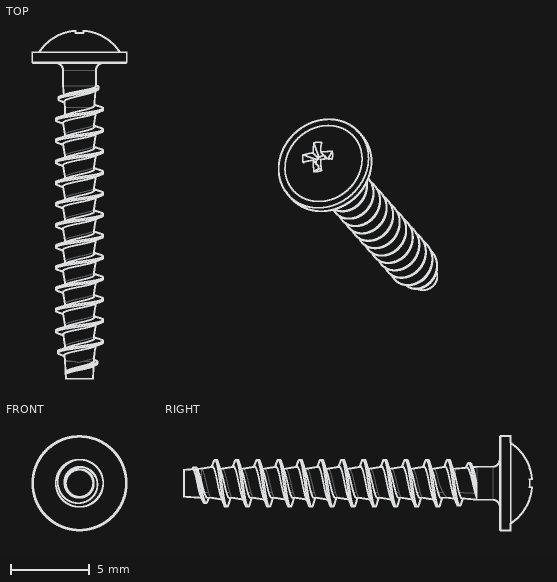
import cadquery as cq
import math


washer_radius = 3.0
washer_thickness = 0.7
washer_edge_chamfer = 0.06
dome_base_radius = 2.57
apex_height = 2.08

recess_arm_width = 0.5
recess_mouth_radius = 1.09
recess_floor_radius = 0.45
recess_depth = 1.2

shank_radius = 1.05
shank_length = 1.45
neck_fillet_radius = 0.45
screw_length = 20.0
core_radius = 0.93
core_start_depth = 2.8
tip_taper_length = 1.1
tip_radius = 0.86

thread_pitch = 1.34
thread_radius = 1.5
crest_half_width = 0.055
flank_foot_half_width = 0.21
root_step_radius = 1.05
buried_radius = 0.8
buried_half_width = 0.24
root_ramp_end = 1.06
root_ramp_end_radius = 0.91
thread_start_depth = 1.235
thread_start_angle = -90.0
thread_turns = 13.75
run_in_turns = 1.25
run_in_scale = 0.76
run_out_turns = 1.25
run_out_scale = 0.6
points_per_turn = 16
seam_angle = 37.0


def make_blank():
    """Head, neck, shank and plain core turned as one body of revolution."""
    dome_height = apex_height - washer_thickness
    dome_radius = (dome_base_radius**2 + dome_height**2) / (2 * dome_height)
    dome_center_y = apex_height - dome_radius
    half_angle = math.asin(dome_base_radius / dome_radius) / 2
    dome_mid = (dome_radius * math.sin(half_angle), dome_center_y + dome_radius * math.cos(half_angle))
    fillet_offset = neck_fillet_radius * (1 - math.sqrt(0.5))
    fillet_mid = (shank_radius + fillet_offset, -fillet_offset)
    outline = (
        cq.Workplane("XY")
        .moveTo(0, apex_height)
        .threePointArc(dome_mid, (dome_base_radius, washer_thickness))
        .lineTo(washer_radius, washer_thickness)
        .lineTo(washer_radius, washer_edge_chamfer)
        .lineTo(washer_radius - washer_edge_chamfer, 0)
        .lineTo(shank_radius + neck_fillet_radius, 0)
        .threePointArc(fillet_mid, (shank_radius, -neck_fillet_radius))
        .lineTo(shank_radius, -shank_length)
        .lineTo(core_radius, -core_start_depth)
        .lineTo(core_radius, tip_taper_length - screw_length)
        .lineTo(tip_radius, -screw_length)
        .lineTo(0, -screw_length)
        .close()
    )
    blank = outline.revolve(360, (0, 0, 0), (0, 1, 0))
    return blank.rotate((0, 0, 0), (0, 1, 0), seam_angle)


def make_recess():
    """Two crossed arms trimmed by a cone that narrows toward the recess floor."""
    arm_length = 2 * recess_mouth_radius
    floor_y = apex_height - recess_depth
    cross_center = (0, floor_y + recess_depth / 2, 0)
    arm_x = cq.Workplane("XY").box(arm_length, recess_depth, recess_arm_width)
    arm_z = cq.Workplane("XY").box(recess_arm_width, recess_depth, arm_length)
    cone = cq.Solid.makeCone(
        recess_floor_radius, recess_mouth_radius, recess_depth, cq.Vector(0, floor_y, 0), cq.Vector(0, 1, 0)
    )
    return arm_x.union(arm_z).translate(cross_center).intersect(cq.Workplane(cone))


def thread_scale(turn):
    """Radial scale of the thread section: grows at the run-in and fades at the run-out."""
    run_in = min(1.0, turn / run_in_turns)
    run_out = min(1.0, (thread_turns - turn) / run_out_turns)
    return min(run_in_scale + (1 - run_in_scale) * run_in, run_out_scale + (1 - run_out_scale) * run_out)


def thread_point(turn, offset, radius):
    """Point of the right-hand helix traced by one corner of the thread section."""
    angle = math.radians(thread_start_angle + 360 * turn)
    scaled_radius = radius * thread_scale(turn)
    y = -thread_start_depth - thread_pitch * turn + offset
    return cq.Vector(scaled_radius * math.cos(angle), y, scaled_radius * math.sin(angle))


def make_thread():
    """Solid thread bounded by ruled helical faces, kept between shank and tip."""
    section = [
        (buried_half_width, buried_radius),
        (crest_half_width, thread_radius),
        (-crest_half_width, thread_radius),
        (-flank_foot_half_width, root_step_radius),
        (-root_ramp_end, root_ramp_end_radius),
    ]
    steps = round(thread_turns * points_per_turn)
    turns = [thread_turns * step / steps for step in range(steps + 1)]
    edges = []
    for offset, radius in section:
        edges.append(cq.Edge.makeSpline([thread_point(turn, offset, radius) for turn in turns]))

    faces = []
    for edge, next_edge in zip(edges, edges[1:] + edges[:1]):
        faces.append(cq.Face.makeRuledSurface(edge, next_edge))
    for turn in (0, thread_turns):
        corners = [thread_point(turn, offset, radius) for offset, radius in section]
        faces.append(cq.Face.makeFromWires(cq.Wire.makePolygon(corners, close=True)))
    thread = cq.Solid.makeSolid(cq.Shell.makeShell(faces))

    threaded_zone = cq.Solid.makeCylinder(
        washer_radius, screw_length - shank_length, cq.Vector(0, -screw_length, 0), cq.Vector(0, 1, 0)
    )
    return cq.Workplane(thread.fix()).intersect(cq.Workplane(threaded_zone))


result = make_blank().cut(make_recess()).union(make_thread())